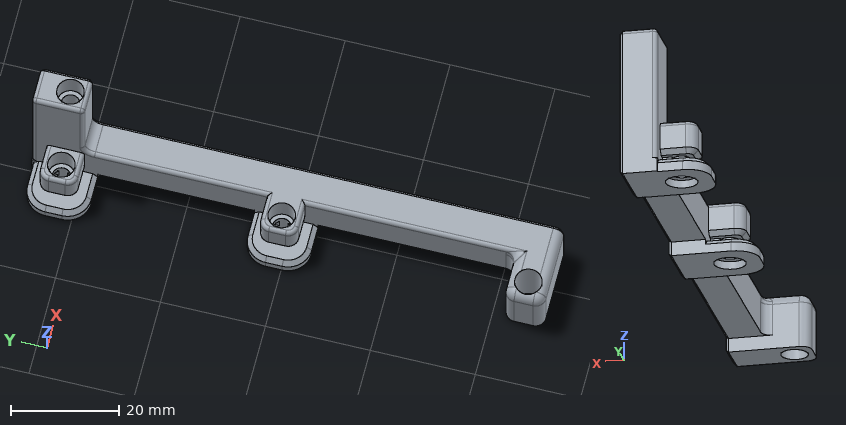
import cadquery as cq

WIDTH = 16.4
LENGTH = 99.75
HEIGHT = 28.5

RAIL_WIDTH = 7.1
RAIL_LEFT = WIDTH - RAIL_WIDTH
RAIL_MID = WIDTH - RAIL_WIDTH / 2
RAIL_BOTTOM = 2.7
RAIL_TOP = 10.8
COLUMN_DEPTH = 10.0
COLUMN_FILLET = 2.0
EDGE_ROUND = 0.8
BACK_CHAMFER = 0.6

BLOCK_LEFT = 0.4
BLOCK_DEPTH = 7.6
BLOCK_MID = BLOCK_DEPTH / 2
BLOCK_ROUND = 2.0
INNER_ROUND = 1.8
BLOCK_HOLE_X = 4.1

STATION_X = 6.0
FAR_STATION_Y = 93.3
STATION_SPACING = 42.0
STATIONS_Y = (FAR_STATION_Y - STATION_SPACING, FAR_STATION_Y)
CORE_HALF_WIDTH = 1.6
CORE_SETBACK = 1.5
CORE_FRONT = STATION_X - CORE_SETBACK
NECK_FRONT = STATION_X + CORE_SETBACK
BOSS_OFFSET = 2.0
BOSS_BOTTOM = 4.5
FOOT_OFFSET = CORE_FRONT
FOOT_HALF_WIDTH = CORE_HALF_WIDTH + FOOT_OFFSET
GAP_CHAMFER = 0.95

SCREW_DIAMETER = 3.4
INSERT_DIAMETER = 5.1
INSERT_DEPTH = 5.0
COLUMN_HOLE_DEPTH = 10.0
HEAD_DIAMETER = 6.0
HEAD_DEPTH = 1.5

SELECTION_MARGIN = 0.1


def box(x_min, x_max, y_min, y_max, z_min, z_max):
    """Axis-aligned box given by its limits."""
    size = (x_max - x_min, y_max - y_min, z_max - z_min)
    return cq.Workplane("XY").box(*size, centered=False).translate((x_min, y_min, z_min))


def vertical_cylinder(diameter, x, y, z_min, z_max):
    """Upright cylinder given by its axis and its height limits."""
    return cq.Workplane("XY", origin=(x, y, z_min)).circle(diameter / 2).extrude(z_max - z_min)


def make_rail():
    """Rail with the upright column at its far end, rounded along the left side and column top."""
    column_front = LENGTH - COLUMN_DEPTH
    rail = (
        cq.Workplane("YZ", origin=(RAIL_LEFT, 0, 0))
        .moveTo(BLOCK_MID, RAIL_BOTTOM)
        .lineTo(LENGTH, RAIL_BOTTOM)
        .lineTo(LENGTH, HEIGHT)
        .lineTo(column_front, HEIGHT)
        .lineTo(column_front, RAIL_TOP + COLUMN_FILLET)
        .radiusArc((column_front - COLUMN_FILLET, RAIL_TOP), COLUMN_FILLET)
        .lineTo(BLOCK_MID, RAIL_TOP)
        .close()
        .extrude(RAIL_WIDTH)
    )
    left_edges = rail.faces("<X").edges().filter(
        lambda edge: edge.Center().z > RAIL_BOTTOM + SELECTION_MARGIN and edge.Center().y > BLOCK_DEPTH
    )
    top_edges = rail.faces(">Z").edges("|X")
    return rail.newObject(left_edges.vals() + top_edges.vals()).fillet(EDGE_ROUND)


def make_end_block():
    """Block reaching from the top of the rail down to the base, rounded on three sides."""
    block = box(BLOCK_LEFT, WIDTH, 0, BLOCK_DEPTH, 0, RAIL_TOP)
    block = block.faces("<X").edges("|Z").fillet(BLOCK_ROUND)
    return block.faces(">Z").edges("not >X").fillet(BLOCK_ROUND)


def round_inner_corner(body):
    """Fillet the upright corner where the rail's left side meets the end block."""
    corner = cq.selectors.BoxSelector(
        (RAIL_LEFT - SELECTION_MARGIN, BLOCK_DEPTH - SELECTION_MARGIN, 0),
        (RAIL_LEFT + SELECTION_MARGIN, BLOCK_DEPTH + SELECTION_MARGIN, RAIL_TOP),
    )
    return body.edges("|Z").edges(corner).fillet(INNER_ROUND)


def station_slab(offset, y, x_end, z_min, z_max):
    """Slab whose outline is the core grown by an offset, with matching corner rounds."""
    half_width = CORE_HALF_WIDTH + offset
    slab = box(CORE_FRONT - offset, x_end, y - half_width, y + half_width, z_min, z_max)
    return slab.faces("<X").edges("|Z").fillet(offset)


def make_foot(y):
    """Rounded foot whose upper rim is chamfered."""
    foot = station_slab(FOOT_OFFSET, y, RAIL_MID, 0, RAIL_BOTTOM)
    return foot.faces(">Z").edges("not >X").chamfer(GAP_CHAMFER)


def make_rail_pad(y_min, y_max):
    """Plain continuation of a foot underneath the rail."""
    return box(RAIL_LEFT, WIDTH, y_min, y_max, 0, RAIL_BOTTOM)


def make_neck(y):
    """Narrow block closing the gap between foot and boss beside the rail."""
    return box(NECK_FRONT, RAIL_MID, y - CORE_HALF_WIDTH, y + CORE_HALF_WIDTH, RAIL_BOTTOM, BOSS_BOTTOM)


def make_boss(y):
    """Boss level with the rail top, chamfered underneath and rounded on top."""
    boss = station_slab(BOSS_OFFSET, y, RAIL_MID, BOSS_BOTTOM, RAIL_TOP)
    boss = boss.faces("<Z").edges("not >X").chamfer(GAP_CHAMFER)
    return boss.faces(">Z").edges("not >X").fillet(EDGE_ROUND)


def insert_hole(x, y, z_bottom, z_top):
    """Wide insert bore at the top that continues as a narrower screw hole."""
    screw = vertical_cylinder(SCREW_DIAMETER, x, y, z_bottom, z_top)
    return screw.union(vertical_cylinder(INSERT_DIAMETER, x, y, z_top - INSERT_DEPTH, z_top))


body = round_inner_corner(make_rail().union(make_end_block()))

for station_y in STATIONS_Y:
    body = body.union(make_foot(station_y))
    body = body.union(make_rail_pad(station_y - FOOT_HALF_WIDTH, station_y + FOOT_HALF_WIDTH))
    body = body.union(make_neck(station_y))
    body = body.union(make_boss(station_y))

body = body.union(make_rail_pad(FAR_STATION_Y, LENGTH))

body = body.faces(">X").edges().chamfer(BACK_CHAMFER)

for station_y in STATIONS_Y:
    body = body.cut(insert_hole(STATION_X, station_y, 0, RAIL_TOP))
    body = body.cut(vertical_cylinder(HEAD_DIAMETER, STATION_X, station_y, 0, HEAD_DEPTH))

body = body.cut(insert_hole(RAIL_MID, FAR_STATION_Y, HEIGHT - COLUMN_HOLE_DEPTH, HEIGHT))
body = body.cut(vertical_cylinder(INSERT_DIAMETER, BLOCK_HOLE_X, BLOCK_MID, 0, RAIL_TOP))

result = body